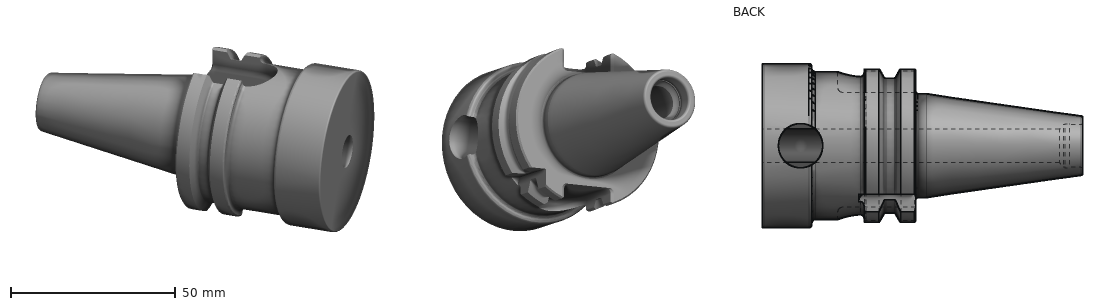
import cadquery as cq
import math

LENGTH = 97.65
X_AXIS = ((0, 0, 0), (1, 0, 0))

TAPER_LENGTH = 47.75
SHANK_RADIUS = 31.7 / 2
NOSE_RADIUS = 18.0 / 2
NOSE_FILLET = 0.8
SHANK_FILLET = 0.6

FLANGE_START = 50.9
FLANGE_END = 66.6
FLANGE_RADIUS = 50.0 / 2
FLANGE_CHAMFER = 0.5
FLANGE_RIM_FILLET = 0.5
GROOVE_CENTER = 58.8
GROOVE_BOTTOM_RADIUS = 22.1
GROOVE_ANGLE = 30.0
GROOVE_MOUTH_WIDTH = 6.6
GROOVE_FLANK = (FLANGE_RADIUS - GROOVE_BOTTOM_RADIUS) * math.tan(math.radians(GROOVE_ANGLE))
GROOVE_BOTTOM_WIDTH = GROOVE_MOUTH_WIDTH - 2 * GROOVE_FLANK
GROOVE_FILLET = 0.6

NECK_RADIUS = 45.0 / 2
NECK_FILLET = 1.0
FLANGE_ROOT_FILLET = 1.2
HEAD_START = 82.5
HEAD_RADIUS = FLANGE_RADIUS
HEAD_BACK_FILLET = 1.0
HEAD_FRONT_FILLET = 0.5

SLOT_WIDTH = 16.2
SLOT_END_CENTER = FLANGE_END
SLOT_FILLET = 1.5
SLOT_CHAMFER = 0.9
SLOT_FACE_CHAMFER_DEPTH = 0.5
SLOT_RIM_CHAMFER_DEPTH = 0.6
UPPER_FLOOR = 16.3
LOWER_FLOOR = 18.65
SLOT_TOP = FLANGE_RADIUS + 1.0

NOTCH_OFFSET = 14.7

BORE_RADIUS = 10.2 / 2
COUNTERBORE_RADIUS = 13.0 / 2
COUNTERBORE_DEPTH = 6.1
COUNTERBORE_FILLET = 0.8
CONE_LENGTH = 1.2
RELIEF_RADIUS = 13.5 / 2
RELIEF_START = 4.1
RELIEF_WIDTH = 1.4
SCREW_HOLE_RADIUS = 13.5 / 2
SCREW_HOLE_X = 85.9


def ring_edges(body, x, radius):
    """Circular edges of a turned body at one axial position and radius."""
    tolerance = 0.01
    return body.edges("%CIRCLE").filter(
        lambda edge: abs(edge.Center().x - x) < tolerance and abs(edge.radius() - radius) < tolerance
    )


def turned_body():
    half_mouth = GROOVE_MOUTH_WIDTH / 2
    half_bottom = GROOVE_BOTTOM_WIDTH / 2
    outline = [
        (0, 0),
        (0, NOSE_RADIUS),
        (TAPER_LENGTH, SHANK_RADIUS),
        (FLANGE_START, SHANK_RADIUS),
        (FLANGE_START, FLANGE_RADIUS),
        (GROOVE_CENTER - half_mouth, FLANGE_RADIUS),
        (GROOVE_CENTER - half_bottom, GROOVE_BOTTOM_RADIUS),
        (GROOVE_CENTER + half_bottom, GROOVE_BOTTOM_RADIUS),
        (GROOVE_CENTER + half_mouth, FLANGE_RADIUS),
        (FLANGE_END, FLANGE_RADIUS),
        (FLANGE_END, NECK_RADIUS),
        (HEAD_START, NECK_RADIUS),
        (HEAD_START, HEAD_RADIUS),
        (LENGTH, HEAD_RADIUS),
        (LENGTH, 0),
    ]
    body = cq.Workplane("XY").polyline(outline).close().revolve(360, *X_AXIS)
    body = ring_edges(body, FLANGE_START, FLANGE_RADIUS).chamfer(FLANGE_CHAMFER)
    rounded_edges = [
        (0, NOSE_RADIUS, NOSE_FILLET),
        (FLANGE_START, SHANK_RADIUS, SHANK_FILLET),
        (GROOVE_CENTER - half_bottom, GROOVE_BOTTOM_RADIUS, GROOVE_FILLET),
        (GROOVE_CENTER + half_bottom, GROOVE_BOTTOM_RADIUS, GROOVE_FILLET),
        (FLANGE_END, FLANGE_RADIUS, FLANGE_RIM_FILLET),
        (FLANGE_END, NECK_RADIUS, FLANGE_ROOT_FILLET),
        (HEAD_START, NECK_RADIUS, NECK_FILLET),
        (HEAD_START, HEAD_RADIUS, HEAD_BACK_FILLET),
        (LENGTH, HEAD_RADIUS, HEAD_FRONT_FILLET),
    ]
    for x, radius, fillet in rounded_edges:
        body = ring_edges(body, x, radius).fillet(fillet)
    return body


def slot_outline(plane, half_width, floor):
    """Cross-section of a drive slot: open at the rim, round in its two floor corners."""
    sagitta = SLOT_FILLET * (1 - math.sqrt(0.5))
    return (
        plane.moveTo(-half_width, SLOT_TOP)
        .lineTo(-half_width, floor + SLOT_FILLET)
        .threePointArc((-half_width + sagitta, floor + sagitta), (-half_width + SLOT_FILLET, floor))
        .lineTo(half_width - SLOT_FILLET, floor)
        .threePointArc((half_width - sagitta, floor + sagitta), (half_width, floor + SLOT_FILLET))
        .lineTo(half_width, SLOT_TOP)
        .close()
    )


def drive_slot(floor):
    """Cutter for the slot on the +Z side, with a round end and broken edges on the flange."""
    half_width = SLOT_WIDTH / 2
    outer_half_width = half_width + SLOT_CHAMFER
    height = SLOT_TOP - floor

    length = SLOT_END_CENTER - FLANGE_START
    slot_start = FLANGE_START - SLOT_WIDTH
    cutter = (
        cq.Workplane("XY", origin=(0, 0, floor))
        .moveTo(slot_start, -half_width)
        .lineTo(SLOT_END_CENTER, -half_width)
        .threePointArc((SLOT_END_CENTER + half_width, 0), (SLOT_END_CENTER, half_width))
        .lineTo(slot_start, half_width)
        .close()
        .extrude(height)
        .faces("<Z").edges("not <X").fillet(SLOT_FILLET)
    )
    shank_side = (
        cq.Workplane("XY", origin=(slot_start, 0, floor))
        .box(FLANGE_START - slot_start, SLOT_WIDTH, height, centered=(False, True, False))
    )
    cutter = cutter.cut(shank_side)

    face = cq.Workplane("YZ", origin=(FLANGE_START, 0, 0))
    wide_end = slot_outline(face, outer_half_width, floor)
    narrow_plane = wide_end.workplane(offset=SLOT_FACE_CHAMFER_DEPTH)
    face_chamfer = slot_outline(narrow_plane, half_width, floor).loft(ruled=True)

    rim_edge_height = math.sqrt(FLANGE_RADIUS**2 - outer_half_width**2)
    chamfer_bottom = rim_edge_height - SLOT_RIM_CHAMFER_DEPTH
    rim_chamfer = (
        face.polyline([
            (-half_width, chamfer_bottom),
            (half_width, chamfer_bottom),
            (outer_half_width, rim_edge_height),
            (outer_half_width, SLOT_TOP),
            (-outer_half_width, SLOT_TOP),
            (-outer_half_width, rim_edge_height),
        ])
        .close()
        .extrude(length)
    )
    return cutter.union(face_chamfer).union(rim_chamfer)


def orientation_notch():
    """Square corner cut through the flange on the +Y, -Z side, with a rounded run-out in the neck."""
    size = FLANGE_RADIUS - NOTCH_OFFSET
    corner_radius = NOTCH_OFFSET * math.sqrt(2)
    runout = NECK_RADIUS - corner_radius
    notch_end = FLANGE_END + runout
    square = (
        cq.Workplane("XY", origin=(FLANGE_START, NOTCH_OFFSET, -FLANGE_RADIUS))
        .box(notch_end - FLANGE_START, size, size, centered=False)
    )
    arc_offset = runout * math.sqrt(0.5)
    outline = (
        cq.Workplane("XY")
        .moveTo(FLANGE_START, corner_radius)
        .lineTo(FLANGE_END, corner_radius)
        .threePointArc((FLANGE_END + arc_offset, NECK_RADIUS - arc_offset), (notch_end, NECK_RADIUS))
        .lineTo(notch_end, 2 * FLANGE_RADIUS)
        .lineTo(FLANGE_START, 2 * FLANGE_RADIUS)
        .close()
        .extrude(2 * size, both=True)
        .rotate(*X_AXIS, -45)
    )
    return square.intersect(outline)


def axial_bore():
    """Through bore with a counterbore: rounded mouth, shallow relief groove and cone at its bottom."""
    relief_end = RELIEF_START + RELIEF_WIDTH
    mouth_radius = COUNTERBORE_RADIUS + COUNTERBORE_FILLET
    arc_offset = COUNTERBORE_FILLET * (1 - math.sqrt(0.5))
    return (
        cq.Workplane("XY")
        .lineTo(0, mouth_radius)
        .threePointArc(
            (arc_offset, COUNTERBORE_RADIUS + arc_offset),
            (COUNTERBORE_FILLET, COUNTERBORE_RADIUS),
        )
        .lineTo(RELIEF_START, COUNTERBORE_RADIUS)
        .lineTo(RELIEF_START, RELIEF_RADIUS)
        .lineTo(relief_end, RELIEF_RADIUS)
        .lineTo(relief_end, COUNTERBORE_RADIUS)
        .lineTo(COUNTERBORE_DEPTH, COUNTERBORE_RADIUS)
        .lineTo(COUNTERBORE_DEPTH + CONE_LENGTH, BORE_RADIUS)
        .lineTo(LENGTH, BORE_RADIUS)
        .lineTo(LENGTH, 0)
        .close()
        .revolve(360, *X_AXIS)
    )


def clamping_screw_hole():
    """Radial hole from the +Y side of the head to the bore."""
    return (
        cq.Workplane("XZ", origin=(SCREW_HOLE_X, 0, 0))
        .circle(SCREW_HOLE_RADIUS)
        .extrude(-HEAD_RADIUS)
    )


upper_slot = drive_slot(UPPER_FLOOR)
lower_slot = drive_slot(LOWER_FLOOR).rotate(*X_AXIS, 180)

holder = (
    turned_body()
    .cut(upper_slot)
    .cut(lower_slot)
    .cut(orientation_notch())
    .cut(axial_bore())
    .cut(clamping_screw_hole())
)

result = cq.Compound.makeCompound([holder.val()])